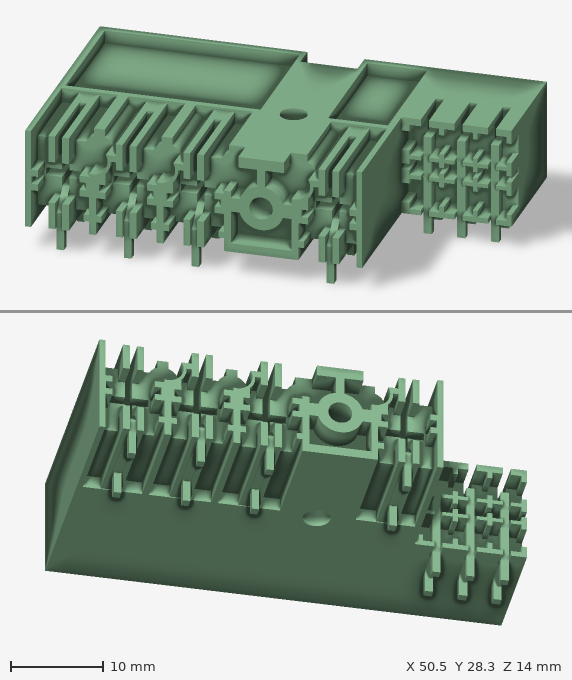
import cadquery as cq


length = 50.5
depth = 28.3
height = 11.4
pin_length = 2.6
main_width = 38.1
side_front = 14.95
axis_z = 5.6

pitch = 7.65
first_x = 3.8
position_count = 5
screw_position = 3
screw_x = first_x + screw_position * pitch
contact_xs = [first_x + i * pitch for i in range(position_count) if i != screw_position]
face_y = 2.7
channel_end = 11.7

carrier_half = 1.15
carrier_inner = 2.4
carrier_outer = 5.5
floor_offset = 4.1
wall_reach = 3.15
cross_half_width = 2.2
cross_half_height = 0.45
cross_depth = 6.8
rib_slot_half = 3.1
blade_width = 0.8
slot_end = 9.3

half_pitch = pitch / 2
wall_half = 0.38
stem_half = 0.6
rib_reach = 1.45
rib_half = 1.2
foot_reach = 1.0
foot_height = 0.75
bulb_z = axis_z + 3.3
bulb_radius = 1.7
cradle_radius = 2.05
cradle_reach = 2.0
shelf_bottom = axis_z + 3.35

boss_radius = 2.6
screw_hole_radius = 1.3
screw_hole_depth = 5.05
boss_web_half = 0.8
hanger_half = 0.45
roof_half = 2.6
roof_thickness = 1.25
base_thickness = 1.0

notch_half = 3.25
notch_depth = 2.65
rear_boss_radius = 2.3
mount_hole_radius = 1.5
mount_hole_y = 12.3

recess_depth = 1.5
recess_front = 12.45
recess_back = depth - 0.9
recess_spans = ((0.85, 22.9), (30.5, 37.25))

side_pitch = 3.8
side_first_x = 40.7
side_xs = [side_first_x + i * side_pitch for i in range(3)]
side_blade_width = 0.9
side_slot_depth = 5.75
side_window_depth = 2.7
side_plate_offset = 5.0
side_tooth_offset = 4.25
side_rail_offset = 1.15
side_rail_half = 0.225
side_tab_half = 0.8
side_tab_width = 0.55
side_left_tab = 0.9
side_right_tab = 0.6


def block(x0, x1, y0, y1, z0, z1):
    """Box between two corner positions."""
    return cq.Workplane("XY").box(x1 - x0, y1 - y0, z1 - z0, centered=False).translate((x0, y0, z0))


def rod(x, z, radius, y0, y1):
    """Cylinder along Y."""
    return cq.Workplane("XZ", origin=(x, y0, z)).circle(radius).extrude(y0 - y1)


def blade(x, width, side_profile):
    """Sheet metal contact, standing in the YZ plane and centred on x."""
    return cq.Workplane("YZ", origin=(x - width / 2, 0, 0)).polyline(side_profile).close().extrude(width)


def housing_shell():
    outline = [
        (0, 0), (main_width, 0), (main_width, side_front),
        (length, side_front), (length, depth), (0, depth),
    ]
    shell = cq.Workplane("XY").polyline(outline).close().extrude(height)
    for x0, x1 in recess_spans:
        shell = shell.cut(block(x0, x1, recess_front, recess_back, height - recess_depth, height))
    notch = block(screw_x - notch_half, screw_x + notch_half, depth - notch_depth, depth, axis_z, height)
    shell = shell.cut(notch.cut(rod(screw_x, axis_z, rear_boss_radius, depth - notch_depth, depth)))
    mount_hole = cq.Workplane("XY").center(screw_x, mount_hole_y).circle(mount_hole_radius).extrude(height)
    return shell.cut(mount_hole)


def channels(x, wall_left, wall_right):
    """Open channels above and below one contact carrier, with the carrier left standing."""
    def edge(beside_wall, half):
        return wall_reach if beside_wall else half_pitch - half

    upper = block(x - edge(wall_left, stem_half), x + edge(wall_right, stem_half),
                  0, channel_end, axis_z + floor_offset, height)
    lower = block(x - edge(wall_left, wall_half), x + edge(wall_right, wall_half),
                  0, channel_end, 0, axis_z - floor_offset)
    if not wall_left:
        upper = upper.cut(rod(x - half_pitch, bulb_z, bulb_radius, 0, channel_end))
    if not wall_right:
        upper = upper.cut(rod(x + half_pitch, bulb_z, bulb_radius, 0, channel_end))
    carrier = block(x - carrier_half, x + carrier_half, 0, channel_end,
                    axis_z - carrier_outer, axis_z + carrier_outer)
    return upper.union(lower).cut(carrier)


def carrier_prongs(x):
    """Upper and lower part of a carrier in front of the core."""
    upper = block(x - carrier_half, x + carrier_half, 0, face_y,
                  axis_z + carrier_inner, axis_z + carrier_outer)
    return upper.union(upper.mirror("XY", (0, 0, axis_z)))


def partition(x, ribs_left, ribs_right):
    """Front end of the wall between two positions, dished at the top around the bulb axis."""
    ribs = block(x - wall_half, x + wall_half, 0, face_y, 0, bulb_z)
    foot_z = axis_z - floor_offset
    bars = [
        (rib_reach, axis_z - rib_half, axis_z + rib_half),
        (foot_reach, foot_z, foot_z + foot_height),
    ]
    for reach, z0, z1 in bars:
        x0 = x - reach if ribs_left else x
        x1 = x + reach if ribs_right else x
        ribs = ribs.union(block(x0, x1, 0, face_y, z0, z1))
    if ribs_right:
        cradle = block(x, x + cradle_reach, 0, face_y, axis_z, axis_z + floor_offset)
        cradle = cradle.intersect(rod(x, bulb_z, cradle_radius, 0, face_y))
        shelf = block(x, x + half_pitch - carrier_half, 0, face_y, shelf_bottom, axis_z + floor_offset)
        stem = block(x, x + rib_reach, 0, face_y, axis_z, bulb_z)
        ribs = ribs.union(cradle).union(shelf).union(stem)
    ribs = ribs.cut(rod(x, bulb_z, bulb_radius, 0, face_y))
    dish_z = bulb_z - bulb_radius
    if not ribs_left:
        ribs = ribs.cut(block(x - wall_half, x, 0, face_y, dish_z, bulb_z))
    if not ribs_right:
        ribs = ribs.cut(block(x, x + wall_half, 0, face_y, dish_z, bulb_z))
    return ribs


def screw_boss():
    """Boss hung from a roof and tied to the partitions on both sides."""
    left = screw_x - half_pitch
    right = screw_x + half_pitch
    boss = rod(screw_x, axis_z, boss_radius, 0, face_y)
    boss = boss.union(block(left, right, 0, face_y, axis_z - boss_web_half, axis_z + boss_web_half))
    boss = boss.union(block(screw_x - hanger_half, screw_x + hanger_half, 0, face_y, axis_z, height))
    boss = boss.union(block(screw_x - roof_half, screw_x + roof_half,
                            0, face_y, height - roof_thickness, height))
    return boss.union(block(left, right, 0, face_y, 0, base_thickness))


def contact_slots(x):
    """Cross-shaped slot: an upright slot for the blade and a level one across the ribs."""
    z0 = axis_z - cross_half_height
    z1 = axis_z + cross_half_height
    slots = block(x - blade_width / 2, x + blade_width / 2, 0, slot_end, 0, height)
    slots = slots.union(block(x - cross_half_width, x + cross_half_width, 0, cross_depth, z0, z1))
    return slots.union(block(x - rib_slot_half, x + rib_slot_half, 0, face_y, z0, z1))


def main_blade(x):
    """Blade with a sloped nose, a higher rear step and a solder pin at each end."""
    front = 0.6
    pin_width = 1.0
    nose_z = 1.8
    ramp = 2.25
    profile = [
        (front, -pin_length), (front, nose_z), (front + ramp, nose_z + ramp),
        (cross_depth, nose_z + ramp), (cross_depth, axis_z + cross_half_height),
        (slot_end, axis_z + cross_half_height), (slot_end, -pin_length),
        (slot_end - pin_width, -pin_length), (slot_end - pin_width, 0),
        (front + pin_width, 0), (front + pin_width, -pin_length),
    ]
    return blade(x, blade_width, profile)


def side_blade(x):
    """Bridge-shaped side blade: two legs ending in solder pins, joined by a beam at the top."""
    front = side_front + 1.05
    back = side_front + side_slot_depth
    leg_width = 0.9
    top = axis_z + 3.35
    beam_bottom = top - 1.1
    profile = [
        (front, -pin_length), (front, top), (back, top), (back, -pin_length),
        (back - leg_width, -pin_length), (back - leg_width, beam_bottom),
        (front + leg_width, beam_bottom), (front + leg_width, -pin_length),
    ]
    return blade(x, side_blade_width, profile)


def side_ribs():
    """Plates, rails and tabs in front of the side section core."""
    back = side_front + side_window_depth
    tabs = [(main_width, main_width + side_left_tab), (length - side_right_tab, length)]
    for x in side_xs[:-1]:
        middle = x + side_pitch / 2
        tabs.append((middle - side_tab_width / 2, middle + side_tab_width / 2))

    def half(z0, z1):
        return block(main_width, length, side_front, back, axis_z + z0, axis_z + z1)

    ribs = half(side_plate_offset, height - axis_z)
    ribs = ribs.union(half(side_rail_offset - side_rail_half, side_rail_offset + side_rail_half))
    ribs = ribs.union(half(-side_rail_offset - side_rail_half, -side_rail_offset + side_rail_half))
    ribs = ribs.union(half(-axis_z, -side_plate_offset))
    spans = [
        (side_tooth_offset, side_plate_offset),
        (side_rail_offset - side_tab_half, side_rail_offset + side_tab_half),
    ]
    for x0, x1 in tabs:
        for z0, z1 in spans:
            ribs = ribs.union(block(x0, x1, side_front, back, axis_z + z0, axis_z + z1))
            ribs = ribs.union(block(x0, x1, side_front, back, axis_z - z1, axis_z - z0))
    return ribs


result = housing_shell()
for number, x in enumerate(contact_xs):
    at_left = number == 0
    at_right = number == len(contact_xs) - 1
    result = result.cut(channels(x, at_left, at_right))

inner_left = contact_xs[0] - wall_reach
inner_right = contact_xs[-1] + wall_reach
result = result.cut(block(inner_left, inner_right, 0, face_y, 0, height))
wall_rib = wall_reach - half_pitch + rib_reach
for x0 in (inner_left, inner_right - wall_rib):
    result = result.union(block(x0, x0 + wall_rib, 0, face_y, axis_z - rib_half, axis_z + rib_half))
for i in range(position_count - 1):
    partition_x = first_x + i * pitch + half_pitch
    result = result.union(partition(partition_x, i != screw_position, i + 1 != screw_position))
result = result.union(screw_boss())
result = result.cut(rod(screw_x, axis_z, screw_hole_radius, 0, screw_hole_depth))

for x in contact_xs:
    result = result.union(carrier_prongs(x)).cut(contact_slots(x)).union(main_blade(x))

result = result.cut(block(main_width, length, side_front, side_front + side_window_depth, 0, height))
result = result.union(side_ribs())
for x in side_xs:
    slot = block(x - side_blade_width / 2, x + side_blade_width / 2,
                 side_front, side_front + side_slot_depth, 0, height)
    result = result.cut(slot).union(side_blade(x))